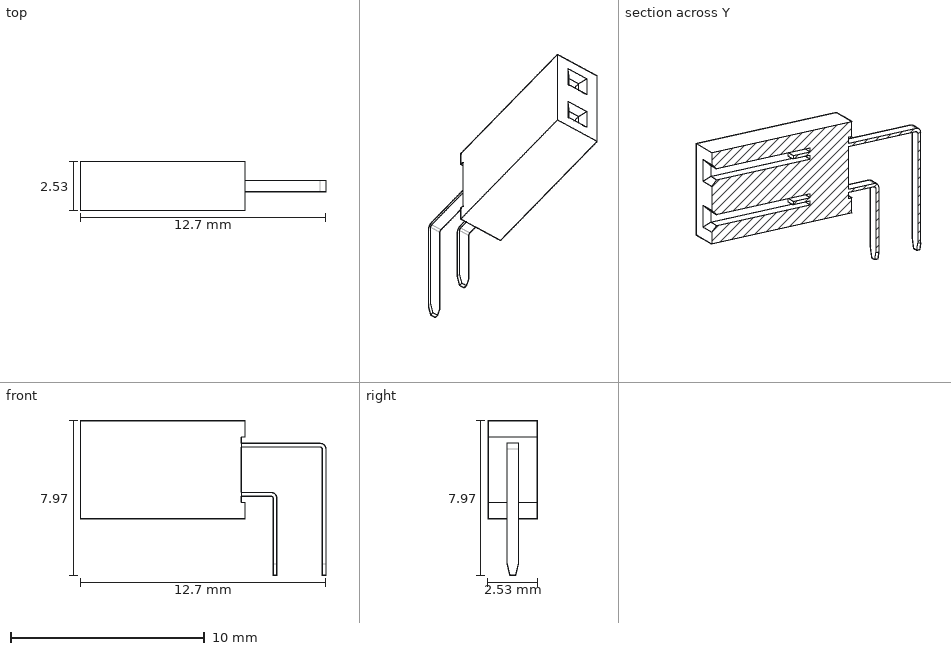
import cadquery as cq

pitch = 2.53
contact_count = 2
body_length = 8.49
body_width = 2.53
body_height = contact_count * pitch
recess_depth = 0.19
recess_margin = 0.85

funnel_mouth = 1.2
bore_size = 0.6
funnel_depth = (funnel_mouth - bore_size) / 2
socket_depth = 5.95

overall_length = 12.67
leg_drop = 2.91
strip_width = 0.6
strip_thickness = 0.2
bend_outer_radius = 0.3
bend_inner_radius = bend_outer_radius - strip_thickness
tip_width = 0.3
tip_length = 0.6
blade_width = 0.51
blade_length = 1.01


def make_housing():
    """Block with a full-width recess across its rear face."""
    block = cq.Workplane("XY").box(body_length, body_width, body_height, centered=(False, True, False))
    recess = (
        cq.Workplane("XY")
        .box(recess_depth, body_width, body_height - 2 * recess_margin, centered=(False, True, False))
        .translate((body_length - recess_depth, 0, recess_margin))
    )
    return block.cut(recess)


def make_socket(center_z):
    """Cutting body for one socket entering from the front face."""
    front = cq.Workplane("YZ", origin=(0, 0, center_z))
    funnel = (
        front.rect(funnel_mouth, funnel_mouth)
        .workplane(offset=funnel_depth)
        .rect(bore_size, bore_size)
        .loft(ruled=True)
    )
    bore = front.rect(bore_size, bore_size).extrude(socket_depth)
    return funnel.union(bore)


def make_contact(center_z, leg_outer_x):
    """Bent strip with a tapered leg and a narrower blade inside the bore."""
    top_z = center_z + strip_thickness / 2
    profile = (
        cq.Workplane("XZ")
        .moveTo(socket_depth, top_z)
        .lineTo(leg_outer_x, top_z)
        .lineTo(leg_outer_x, -leg_drop)
        .lineTo(leg_outer_x - strip_thickness, -leg_drop)
        .lineTo(leg_outer_x - strip_thickness, top_z - strip_thickness)
        .lineTo(socket_depth, top_z - strip_thickness)
        .close()
    )
    strip = profile.extrude(strip_width / 2, both=True)
    outer_corner = cq.selectors.NearestToPointSelector((leg_outer_x, 0, top_z))
    inner_corner = cq.selectors.NearestToPointSelector(
        (leg_outer_x - strip_thickness, 0, top_z - strip_thickness)
    )
    strip = strip.edges("|Y").edges(outer_corner).fillet(bend_outer_radius)
    strip = strip.edges("|Y").edges(inner_corner).fillet(bend_inner_radius)

    for side in (-1, 1):
        taper = (
            cq.Workplane("YZ", origin=(leg_outer_x - strip_thickness, 0, 0))
            .moveTo(side * strip_width / 2, tip_length - leg_drop)
            .lineTo(side * strip_width / 2, -leg_drop)
            .lineTo(side * tip_width / 2, -leg_drop)
            .close()
            .extrude(strip_thickness)
        )
        strip = strip.cut(taper)

    blade = (
        cq.Workplane("YZ", origin=(socket_depth - blade_length, 0, center_z))
        .rect(blade_width, strip_thickness)
        .extrude(blade_length)
    )
    return strip.union(blade)


result = make_housing()
for index in range(contact_count):
    row_z = (index + 0.5) * pitch
    leg_x = overall_length - (contact_count - 1 - index) * pitch
    result = result.cut(make_socket(row_z)).union(make_contact(row_z, leg_x))